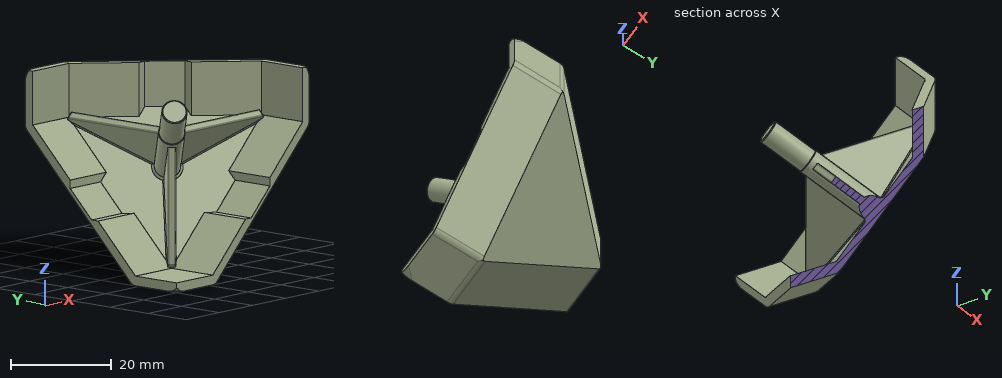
import cadquery as cq
import math


size = 40.0
wall = 2.0
edge_radius = wall
square_side = 10.9
recess_depth = 1.2
recess_width = 8.0
rim_tip_radius = 2.0
rim_tip_cut = 1.05

rib_thickness = 1.6
rib_inset = 10.2
rib_end_gap = 0.1
rib_edge_radius = 0.25
rib_flare = 0.25

post_inset = 4.65
post_shoulder_inset = 10.4
post_tip_radius = 2.5
post_root_radius = 2.65
post_chamfer = 0.2
post_flare = 0.5

inner = size - wall
floor_height = (inner + 2 * square_side) / math.sqrt(3)
root_height = floor_height + wall / 2
diagonal = cq.Plane(origin=(0, 0, 0), xDir=(2, -1, -1), normal=(1, 1, 1))


def threefold(shape):
    """The shape and its two copies turned about the diagonal."""
    return [shape.rotate((0, 0, 0), (1, 1, 1), angle) for angle in (0, 120, 240)]


def common_of_turns(prism):
    first, second, third = threefold(prism)
    return first.intersect(second).intersect(third)


def space_above_floor(height):
    """Everything on the origin side of a plane square to the diagonal."""
    return cq.Workplane(diagonal).rect(4 * size, 4 * size).extrude(height)


def place_on_diagonal(shape):
    """Move a shape built along Z onto the diagonal, its +X towards the X corner."""
    return cq.Workplane(shape.val().moved(cq.Location(diagonal)))


def outer_block():
    reach = edge_radius * math.sqrt(0.5)
    outline = (
        cq.Workplane("XY")
        .lineTo(size, 0)
        .lineTo(size, square_side)
        .radiusArc((inner + reach, square_side + reach), -edge_radius)
        .lineTo(square_side + reach, inner + reach)
        .radiusArc((square_side, size), -edge_radius)
        .lineTo(0, size)
        .close()
    )
    block = common_of_turns(outline.extrude(size))
    return block.intersect(space_above_floor(floor_height + wall))


def cavity():
    step = recess_depth * math.sqrt(2)
    middle = (inner + square_side + step) / 2
    half_run = recess_width / 2 * math.sqrt(0.5)
    near = middle - half_run
    far = middle + half_run
    outline = cq.Workplane("XY").polyline([
        (0, 0),
        (inner, 0),
        (inner, square_side),
        (far, near - step),
        (far, near),
        (near, far),
        (near - step, far),
        (square_side, inner),
        (0, inner),
    ]).close()
    space = common_of_turns(outline.extrude(size))
    return space.intersect(space_above_floor(floor_height))


def rim_tip_cutter():
    """Material to remove at the rim tip on the X axis, outside a cylinder."""
    middle_plane = cq.Plane(origin=(0, 0, 0), xDir=(1, 0, 0), normal=(0, -1, 1))
    shortened = size - rim_tip_cut
    tangent = math.sqrt(rim_tip_radius**2 - (rim_tip_radius - rim_tip_cut)**2)
    outline = (
        cq.Workplane(middle_plane)
        .moveTo(shortened, 0)
        .radiusArc((size, tangent), -rim_tip_radius)
        .lineTo(size + wall, tangent)
        .lineTo(size + wall, -wall)
        .lineTo(shortened, -wall)
        .close()
    )
    return outline.extrude(2 * wall, both=True)


def post():
    tip = post_inset * math.sqrt(3)
    shoulder = post_shoulder_inset * math.sqrt(3)
    shoulder_step = post_root_radius - post_tip_radius
    foot_radius = post_root_radius + post_flare
    outline = cq.Workplane("XZ").polyline([
        (0, tip),
        (post_tip_radius - post_chamfer, tip),
        (post_tip_radius, tip + post_chamfer),
        (post_tip_radius, shoulder),
        (post_root_radius, shoulder + shoulder_step),
        (post_root_radius, floor_height - post_flare),
        (foot_radius, floor_height),
        (foot_radius, root_height),
        (0, root_height),
    ]).close()
    return place_on_diagonal(outline.revolve())


def rib():
    """Web whose top edge runs parallel to the X axis, with a flared foot."""
    corner_distance = (inner - square_side) * math.sqrt(2 / 3)
    length = corner_distance - rib_end_gap
    top_at_post = rib_inset * math.sqrt(3)
    top_at_end = top_at_post + length * math.sqrt(0.5)
    web = cq.Workplane("XZ").polyline([
        (0, top_at_post),
        (length, top_at_end),
        (length, root_height),
        (0, root_height),
    ]).close().extrude(rib_thickness / 2, both=True)
    web = web.faces("<Z").edges("not(<X)").fillet(rib_edge_radius)

    half = rib_thickness / 2
    foot = cq.Workplane("YZ").polyline([
        (-half, floor_height - rib_flare),
        (half, floor_height - rib_flare),
        (half + rib_flare, floor_height),
        (half + rib_flare, root_height),
        (-half - rib_flare, root_height),
        (-half - rib_flare, floor_height),
    ]).close().extrude(length)
    return web, foot


shell = outer_block().cut(cavity())
for cutter in threefold(rim_tip_cutter()):
    shell = shell.cut(cutter)

body = shell.union(post())
for part in rib():
    for turned in threefold(place_on_diagonal(part)):
        body = body.union(turned)

result = body.rotate((0, 0, 0), (1, 0, 0), -90).translate((0, 0, size))